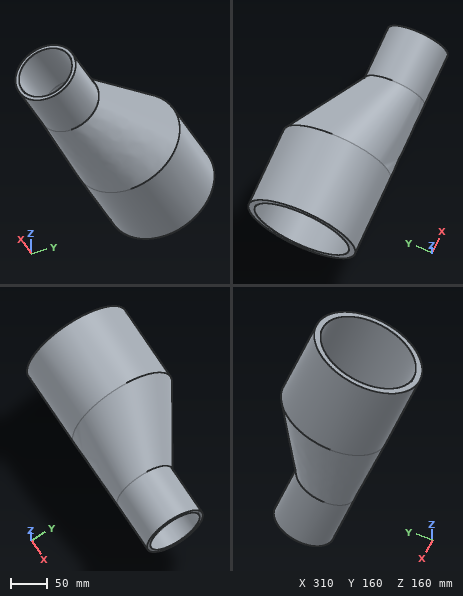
import cadquery as cq

total_length = 310.0
wide_length = 117.5
narrow_length = 78.5
wide_outer_diameter = 160.0
wide_bore_diameter = 141.0
narrow_outer_diameter = 90.0
narrow_bore_diameter = 79.0

narrow_axis_y = -(wide_outer_diameter - narrow_outer_diameter) / 2
taper_length = total_length - wide_length - narrow_length
taper_end_x = wide_length + taper_length


def cylinder(start_x, axis_y, diameter, length):
    """Solid cylinder along +X."""
    base = cq.Workplane("YZ", origin=(start_x, axis_y, 0))
    return base.circle(diameter / 2).extrude(length)


def taper(wide_diameter, narrow_diameter):
    """Oblique cone joining the wide circle to the offset narrow circle."""
    return (
        cq.Workplane("YZ", origin=(wide_length, 0, 0))
        .circle(wide_diameter / 2)
        .workplane(offset=taper_length)
        .center(narrow_axis_y, 0)
        .circle(narrow_diameter / 2)
        .loft(ruled=True)
    )


def reducer_body(wide_diameter, narrow_diameter):
    """Wide cylinder, taper and narrow cylinder as one solid."""
    wide_end = cylinder(0, 0, wide_diameter, wide_length)
    narrow_end = cylinder(taper_end_x, narrow_axis_y, narrow_diameter, narrow_length)
    return wide_end.union(taper(wide_diameter, narrow_diameter)).union(narrow_end)


outside = reducer_body(wide_outer_diameter, narrow_outer_diameter)
bore = reducer_body(wide_bore_diameter, narrow_bore_diameter)
result = outside.cut(bore)